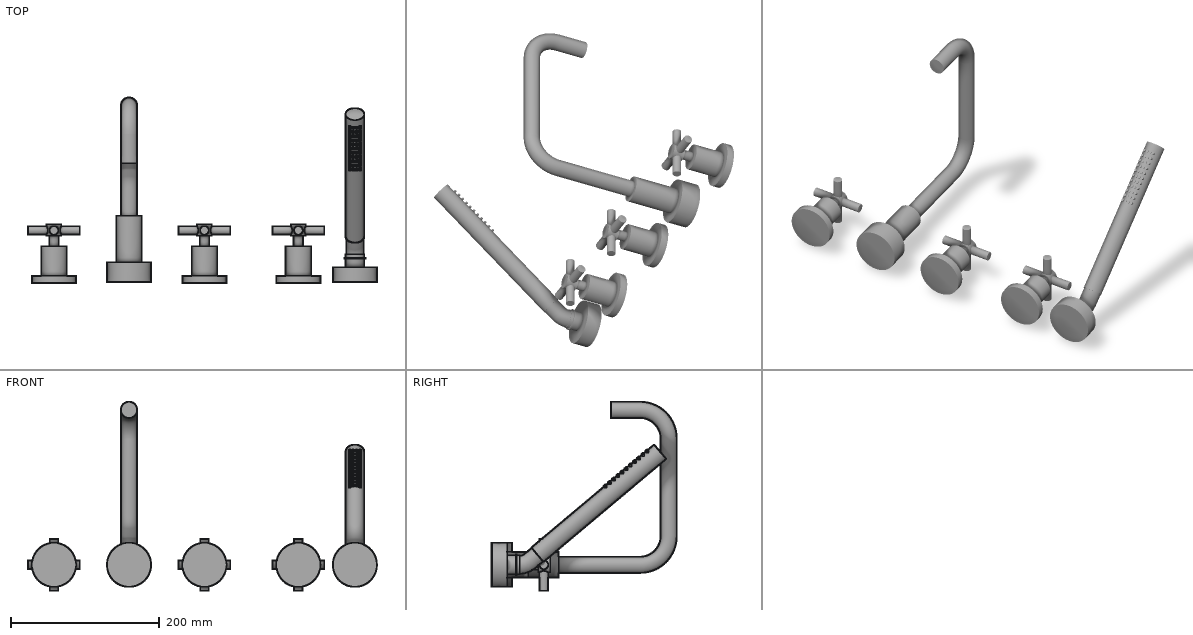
import cadquery as cq
import math


overall_depth = 251.0
overall_height = 255.5
flange_diameter = 60.0
body_diameter = 35.0

handle_positions = (0, 203.0, 330)
spout_x = 101.5
shower_x = 406.5

handle_flange_thickness = 10.0
handle_body_length = 40.0
stem_diameter = 13.0
stem_length = 13.5
hub_diameter = 20.5
hub_length = 16.0
bar_diameter = 12.0
bar_length = 70.3
stem_start = handle_flange_thickness + handle_body_length
hub_start = stem_start + stem_length
bar_offset = 71.0

rose_back = 1.5
spout_rose_thickness = 27.0
sleeve_end = 91.0
tube_diameter = 22.0
bend_radius = 38.5
riser_y = overall_depth - tube_diameter / 2
outlet_height = overall_height - bar_length / 2 - tube_diameter / 2
outlet_y = 161.5

holder_rose_thickness = 20.5
stub_diameter = 25.5
rim_diameter = 28.8
rim_thickness = 1.5
rim_start = 33
neck_diameter = 24.0
elbow_start = 38.5
elbow_radius = 20.7
wand_tilt = 40
nut_length = 13.5

wand_diameter = 25.5
wand_length = 216.5
nozzle_rows = 11
nozzle_columns = 4
nozzle_diameter = 3.5
nozzle_field_length = 73.5
nozzle_row_pitch = nozzle_field_length / (nozzle_rows - 1)
nozzle_column_pitch = 4.5
nozzle_height = 1.0
nozzle_tip_distance = 13.0


def cylinder_along_y(x, start, diameter, length):
    """Round bar on the fitting axis at x, reaching from y = start towards +Y."""
    plane = cq.Plane(origin=(x, start, 0), xDir=(1, 0, 0), normal=(0, 1, 0))
    return cq.Workplane(plane).circle(diameter / 2).extrude(length)


def make_handle(x):
    """Flange, body, stem and hub in line, with two crossed bars through the hub."""
    handle = cylinder_along_y(x, 0, flange_diameter, handle_flange_thickness)
    handle = handle.union(cylinder_along_y(x, handle_flange_thickness, body_diameter, handle_body_length))
    handle = handle.union(cylinder_along_y(x, stem_start, stem_diameter, stem_length))
    handle = handle.union(cylinder_along_y(x, hub_start, hub_diameter, hub_length))
    for plane_name in ("YZ", "XY"):
        bar_plane = cq.Workplane(plane_name, origin=(x, bar_offset, 0))
        handle = handle.union(bar_plane.circle(bar_diameter / 2).extrude(bar_length / 2, both=True))
    return handle


def make_spout():
    """Rose and sleeve carrying a round tube that turns up and then back over itself."""
    sleeve_start = rose_back + spout_rose_thickness
    spout = cylinder_along_y(spout_x, rose_back, flange_diameter, spout_rose_thickness)
    spout = spout.union(cylinder_along_y(spout_x, sleeve_start, body_diameter, sleeve_end - sleeve_start))

    half_bend = 45
    bend_y = riser_y - bend_radius
    upper_bend_z = outlet_height - bend_radius
    diagonal = bend_radius * math.sin(math.radians(half_bend))
    path = (
        cq.Workplane("YZ", origin=(spout_x, 0, 0))
        .moveTo(sleeve_end, 0)
        .lineTo(bend_y, 0)
        .threePointArc((bend_y + diagonal, bend_radius - diagonal), (riser_y, bend_radius))
        .lineTo(riser_y, upper_bend_z)
        .threePointArc((bend_y + diagonal, upper_bend_z + diagonal), (bend_y, outlet_height))
        .lineTo(outlet_y, outlet_height)
    )
    tube_plane = cq.Plane(origin=(spout_x, sleeve_end, 0), xDir=(1, 0, 0), normal=(0, 1, 0))
    tube = cq.Workplane(tube_plane).circle(tube_diameter / 2).sweep(path)
    return spout.union(tube)


def elbow_point(angle):
    """Y and Z of the elbow centre line where it has turned up by the given angle in degrees."""
    turned = math.radians(angle)
    return (
        elbow_start + elbow_radius * math.sin(turned),
        elbow_radius * (1 - math.cos(turned)),
    )


def tilted_plane(distance):
    """Plane across the wand axis, at a distance past the elbow.

    Its own -Y direction points up and towards the mounting side.
    """
    y, z = elbow_point(wand_tilt)
    cosine = math.cos(math.radians(wand_tilt))
    sine = math.sin(math.radians(wand_tilt))
    origin = (shower_x, y + distance * cosine, z + distance * sine)
    return cq.Plane(origin=origin, xDir=(1, 0, 0), normal=(0, cosine, sine))


def make_shower_holder():
    """Rose, stub with a thin rim, and a neck that bends up to a straight nut below the wand."""
    rose_front = rose_back + holder_rose_thickness
    holder = cylinder_along_y(shower_x, rose_back, flange_diameter, holder_rose_thickness)
    holder = holder.union(cylinder_along_y(shower_x, rose_front, stub_diameter, elbow_start - rose_front))
    holder = holder.union(cylinder_along_y(shower_x, rim_start, rim_diameter, rim_thickness))

    elbow_path = (
        cq.Workplane("YZ", origin=(shower_x, 0, 0))
        .moveTo(elbow_start, 0)
        .threePointArc(elbow_point(wand_tilt / 2), elbow_point(wand_tilt))
    )
    elbow_plane = cq.Plane(origin=(shower_x, elbow_start, 0), xDir=(1, 0, 0), normal=(0, 1, 0))
    elbow = cq.Workplane(elbow_plane).circle(neck_diameter / 2).sweep(elbow_path)
    nut = cq.Workplane(tilted_plane(0)).circle(neck_diameter / 2).extrude(nut_length)
    return holder.union(elbow).union(nut)


def make_hand_shower():
    """Straight round wand with a grid of short nozzles near the tip of its upper side."""
    wand = cq.Workplane(tilted_plane(nut_length)).circle(wand_diameter / 2).extrude(wand_length)

    grid_centre = wand_length - nozzle_tip_distance - nozzle_field_length / 2
    axis_plane = tilted_plane(nut_length + grid_centre)
    nozzle_plane = cq.Plane(origin=axis_plane.origin, xDir=(1, 0, 0), normal=-axis_plane.yDir)
    nozzles = (
        cq.Workplane(nozzle_plane)
        .rarray(nozzle_column_pitch, nozzle_row_pitch, nozzle_columns, nozzle_rows)
        .circle(nozzle_diameter / 2)
        .extrude(wand_diameter / 2 + nozzle_height)
    )
    return wand.union(nozzles)


handles = [make_handle(x) for x in handle_positions]
spout = make_spout()
shower_holder = make_shower_holder()
hand_shower = make_hand_shower()

bodies = [*handles, spout, shower_holder, hand_shower]

result = cq.Compound.makeCompound([body.solids().val() for body in bodies])